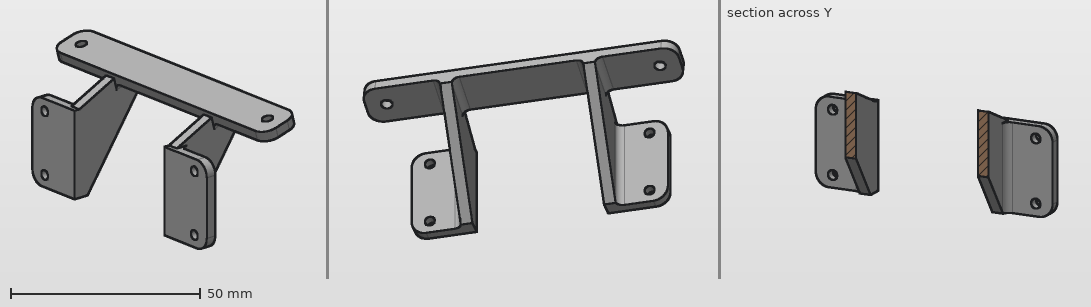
import cadquery as cq
import math

bar_length = 86.0
bar_width = 12.0
bar_thickness = 3.0
bar_tilt = 15.0
bar_hole_x = 37.3
bar_hole_diameter = 3.0
bar_back_y = 25.1
bar_top_z = 35.3

plate_width = 17.0
plate_height = 25.0
plate_thickness = 3.0
plate_outer_x = 35.0
plate_hole_x = 30.0
plate_hole_spacing = 18.0
plate_hole_diameter = 2.7

rib_thickness = 3.2
rib_top_front_y = 1.6
rib_top_slope = 25.0
rib_foot_y = 4.6
rib_back_drop = 1.55

corner_radius = 3.95
root_radius = 2.0

plate_inner_x = plate_outer_x - plate_width
rib_outer_x = plate_inner_x + rib_thickness

tilt_cos = math.cos(math.radians(bar_tilt))
tilt_sin = math.sin(math.radians(bar_tilt))


def bar_point(forward, down):
    """Y, Z of a point measured along the bar from its upper back edge."""
    y = bar_back_y - forward * tilt_cos + down * tilt_sin
    z = bar_top_z - forward * tilt_sin - down * tilt_cos
    return (y, z)


bar_plane = cq.Plane(
    origin=(0, bar_back_y, bar_top_z),
    xDir=(1, 0, 0),
    normal=(0, -tilt_sin, tilt_cos),
)


def make_bar():
    bar = (
        cq.Workplane(bar_plane)
        .center(0, -bar_width / 2)
        .rect(bar_length, bar_width)
        .extrude(-bar_thickness)
    )
    bar = bar.edges(cq.selectors.ParallelDirSelector(bar_plane.zDir)).fillet(corner_radius)
    holes = (
        cq.Workplane(bar_plane)
        .center(0, -bar_width / 2)
        .pushPoints([(-bar_hole_x, 0), (bar_hole_x, 0)])
        .circle(bar_hole_diameter / 2)
        .extrude(-bar_thickness)
    )
    return bar.cut(holes)


def make_plate():
    plate = (
        cq.Workplane("XY")
        .box(plate_width, plate_thickness, plate_height, centered=False)
        .translate((plate_inner_x, 0, 0))
    )
    plate = plate.edges("|Y and >X").fillet(corner_radius)
    first_hole_z = (plate_height - plate_hole_spacing) / 2
    holes = (
        cq.Workplane("XZ")
        .pushPoints([(plate_hole_x, first_hole_z), (plate_hole_x, first_hole_z + plate_hole_spacing)])
        .circle(plate_hole_diameter / 2)
        .extrude(-plate_thickness)
    )
    return plate.cut(holes)


def rib_profile():
    """Side outline of the rib, ending inside the bar at half its thickness."""
    slope = math.tan(math.radians(rib_top_slope))
    front_y, front_z = bar_point(bar_width, 0)
    gap = front_z - plate_height - slope * (front_y - rib_top_front_y)
    top_meets_bar = bar_point(bar_width, gap / (tilt_cos + slope * tilt_sin))
    return [
        (0, 0),
        (0, plate_height),
        (rib_top_front_y, plate_height),
        top_meets_bar,
        bar_point(0, bar_thickness / 2),
        bar_point(0, bar_thickness + rib_back_drop),
        (rib_foot_y, 0),
    ]


def rib_slab(start_x, thickness):
    return (
        cq.Workplane("YZ", origin=(start_x, 0, 0))
        .polyline(rib_profile())
        .close()
        .extrude(thickness)
    )


def root_outline(plane, corner_x, corner_y, side_x, side_y):
    """Concave root section whose square corner lies at the given local point."""
    bulge = root_radius * (1 - math.sqrt(0.5))
    return (
        cq.Workplane(plane)
        .moveTo(corner_x, corner_y)
        .lineTo(corner_x + side_x * root_radius, corner_y)
        .threePointArc(
            (corner_x + side_x * bulge, corner_y + side_y * bulge),
            (corner_x, corner_y + side_y * root_radius),
        )
        .close()
    )


def make_roots():
    """Fillets along the rib, trimmed by the rib's side outline."""
    plate_root = root_outline("XY", rib_outer_x, plate_thickness, 1, 1).extrude(plate_height)

    front_y, front_z = bar_point(bar_width, 0)
    section_plane = cq.Plane(
        origin=(0, front_y, front_z),
        xDir=(1, 0, 0),
        normal=(0, -tilt_cos, -tilt_sin),
    )
    outer_root = root_outline(section_plane, rib_outer_x, -bar_thickness, 1, -1).extrude(-bar_width)
    inner_root = root_outline(section_plane, plate_inner_x, -bar_thickness, -1, -1).extrude(-bar_width)

    trim = rib_slab(plate_inner_x - root_radius, rib_thickness + 2 * root_radius)
    return plate_root.union(outer_root).union(inner_root).intersect(trim)


bracket = make_plate().union(rib_slab(plate_inner_x, rib_thickness)).union(make_roots())
result = make_bar().union(bracket).union(bracket.mirror("YZ"))